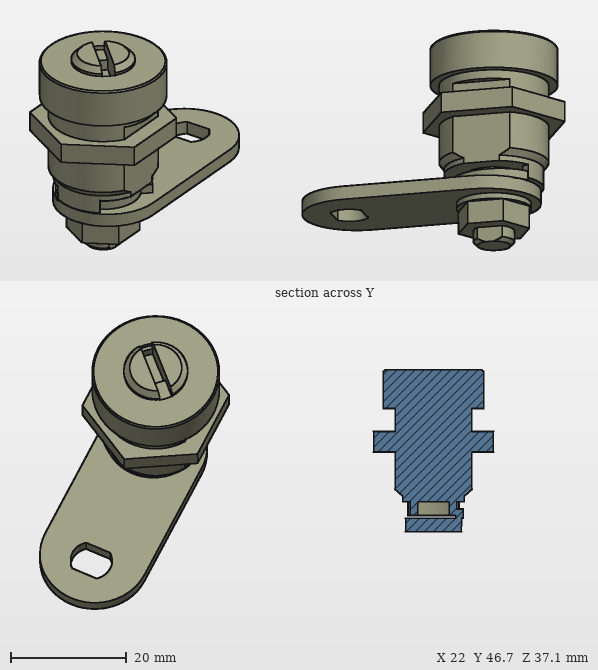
import cadquery as cq
import math


spindle_chamfer = 0.7
cam_nut_bottom = 2.65
cam_nut_top = 6.65
cam_bottom = 7.6
cam_top = 10.0
tab_bottom = 10.4
stop_disc_top = 11.6
barrel_bottom = 12.8
barrel_chamfer_bottom = 13.78
barrel_chamfer_top = 14.95
nut_bottom = 21.4
nut_top = 24.95
flats_top = 27.3
head_bottom = 28.85
head_top = 35.6
plug_top = 37.1

nut_across_flats = 22.0
head_radius = nut_across_flats / 2
head_chamfer = 0.3
barrel_radius = 9.5
barrel_half_flats = 8.0
barrel_end_radius = 8.6

tab_half_width = 4.45
tab_inner_radius = 7.25

plug_radius = 5.5
plug_chamfer = 1.05
slot_width = 2.3
slot_floor = 34.8
slot_angle = -45
key_pocket_start = -1.75
key_pocket_end_radius = 4.85
key_pocket_depth = 1.95

hub_radius = 4.7
stop_disc_radius = 8.4
stop_disc_offset = 0.815
stop_face_distance = 2.9 / math.sqrt(2)
stop_core_radius = 6.55
washer_radius = 6.45
cam_nut_across_flats = 11.0
spindle_radius = 3.55
spindle_half_flats = 2.75

cam_radius = 9.5
cam_near_center_y = 1.4
overall_length = 46.7
cam_tip_y = overall_length - nut_across_flats / math.sqrt(3)
cam_far_center_y = cam_tip_y - cam_radius
cam_hole_y = 25.9
cam_hole_radius = 3.6


def cylinder(radius, bottom, top):
    return cq.Workplane("XY").workplane(offset=bottom).circle(radius).extrude(top - bottom)


def box(x_size, y_size, bottom, top):
    blank = cq.Workplane("XY").box(x_size, y_size, top - bottom, centered=(True, True, False))
    return blank.translate((0, 0, bottom))


def hex_nut(across_flats, bottom, top):
    """Hexagonal prism with two corners on the Y axis."""
    corner_diameter = 2 * across_flats / math.sqrt(3)
    plane = cq.Workplane("XY").workplane(offset=bottom)
    return plane.polygon(6, corner_diameter).extrude(top - bottom).rotate((0, 0, 0), (0, 0, 1), 30)


def make_barrel():
    """Round barrel with a tapered end and a flat on each X side below the collar."""
    profile = [
        (0, barrel_bottom),
        (barrel_end_radius, barrel_bottom),
        (barrel_end_radius, barrel_chamfer_bottom),
        (barrel_radius, barrel_chamfer_top),
        (barrel_radius, flats_top),
        (0, flats_top),
    ]
    barrel = cq.Workplane("XZ").polyline(profile).close().revolve(360, (0, 0), (0, 1))
    barrel = barrel.intersect(box(2 * barrel_half_flats, 2 * barrel_radius, barrel_bottom, flats_top))
    collar = cylinder(barrel_radius, flats_top, head_bottom)
    return barrel.union(collar)


def make_stop_tab():
    """Ring sector with radial sides."""
    ring = cylinder(barrel_end_radius, tab_bottom, barrel_chamfer_bottom)
    ring = ring.cut(cylinder(tab_inner_radius, tab_bottom, barrel_bottom))
    reach = 2 * barrel_end_radius
    half_angle = math.asin(tab_half_width / barrel_end_radius)
    side_x = reach * math.tan(half_angle)
    sector = (
        cq.Workplane("XY")
        .workplane(offset=tab_bottom)
        .polyline([(0, 0), (-side_x, -reach), (side_x, -reach)])
        .close()
        .extrude(barrel_chamfer_bottom - tab_bottom)
    )
    return ring.intersect(sector)


def make_head():
    """Round head carrying the end of the key plug, with the key slot cut through the plug."""
    head = cylinder(head_radius, head_bottom, head_top).faces(">Z").chamfer(head_chamfer)
    plug = cylinder(plug_radius, head_bottom, plug_top).faces(">Z").chamfer(plug_chamfer)

    slot = box(2 * plug_radius, slot_width, slot_floor, plug_top)
    slot = slot.intersect(cylinder(plug_radius, slot_floor, plug_top))

    pocket_floor = slot_floor - key_pocket_depth
    pocket = box(2 * plug_radius, slot_width, pocket_floor, slot_floor)
    pocket = pocket.translate((plug_radius + key_pocket_start, 0, 0))
    pocket = pocket.intersect(cylinder(key_pocket_end_radius, pocket_floor, slot_floor))

    keyway = slot.union(pocket).rotate((0, 0, 0), (0, 0, 1), slot_angle)
    return head.union(plug).cut(keyway)


def make_stop_disc():
    """Eccentric disc cut by a diagonal stop face, around a round core."""
    disc = cylinder(stop_disc_radius, cam_top, stop_disc_top)
    disc = disc.translate((stop_disc_offset, -stop_disc_offset, 0))
    side = 4 * stop_disc_radius
    kept_half = box(side, side, cam_top, stop_disc_top).translate((stop_face_distance - side / 2, 0, 0))
    kept_half = kept_half.rotate((0, 0, 0), (0, 0, 1), slot_angle)
    core = cylinder(stop_core_radius, cam_top, stop_disc_top)
    return disc.intersect(kept_half).union(core)


def make_cam():
    """Arm with round ends and a double-flatted hole near its tip."""
    arm_length = cam_far_center_y - cam_near_center_y
    thickness = cam_top - cam_bottom
    arm = (
        cq.Workplane("XY")
        .workplane(offset=cam_bottom)
        .center(0, (cam_near_center_y + cam_far_center_y) / 2)
        .slot2D(arm_length + 2 * cam_radius, 2 * cam_radius, 90)
        .extrude(thickness)
    )
    hole = cylinder(cam_hole_radius, cam_bottom, cam_top)
    hole = hole.intersect(box(2 * cam_hole_radius, 2 * spindle_half_flats, cam_bottom, cam_top))
    return arm.cut(hole.translate((0, cam_hole_y, 0)))


def make_spindle():
    """Chamfered spindle tip with a flat on each X side."""
    spindle = cylinder(spindle_radius, 0, cam_bottom).faces("<Z").chamfer(spindle_chamfer)
    return spindle.intersect(box(2 * spindle_half_flats, 2 * spindle_radius, 0, cam_bottom))


result = (
    make_head()
    .union(make_barrel())
    .union(hex_nut(nut_across_flats, nut_bottom, nut_top))
    .union(make_stop_tab())
    .union(cylinder(hub_radius, stop_disc_top, barrel_bottom))
    .union(make_stop_disc())
    .union(make_cam())
    .union(cylinder(washer_radius, cam_nut_top, cam_bottom))
    .union(hex_nut(cam_nut_across_flats, cam_nut_bottom, cam_nut_top))
    .union(make_spindle())
)